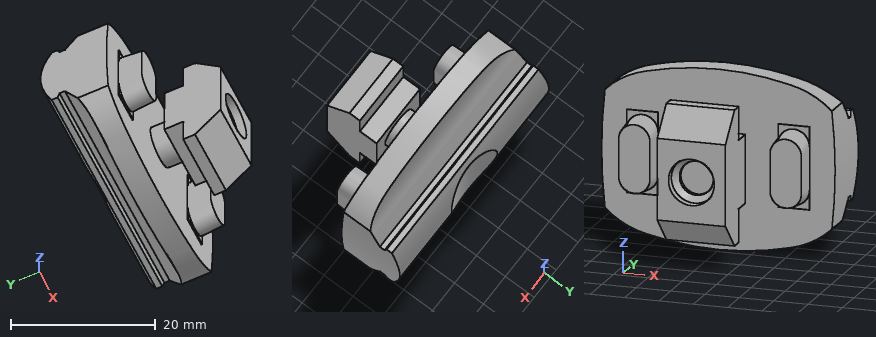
import cadquery as cq
import math


half_length = 17.0
half_height = 13.005
corner_x = 16.52
corner_z = 8.55
shoulder_x = 10.5
shoulder_z = 11.73
shoulder_radius = 12.58

crown_y = 10.13
rim_thickness = 3.5
cove_top_z = 12.5
flank_base_y = 5.1
flank_base_z = 7.9
flank_top_y = 6.5
groove_y = 7.3
groove_z = 5.68
lip_y = 7.6
lip_z = 6.5
crown_edge_y = 8.55

relief_half_width = 5.25
relief_depth = 1.02

pin_x = 11.0
pin_width = 4.55
pin_base_height = 10.95
pin_tip_height = 9.93
pin_length = 3.6
pad_height = 11.97
pad_thickness = 0.15

neck_diameter = 6.05
neck_length = 3.05
nut_length = 8.6
nut_width = 9.93
nut_body_half_height = 4.95
nut_wing_half_height = 9.8
wing_offset = 2.9
nut_chamfer = 3.9

bore_mouth_diameter = 6.65
bore_diameter = 4.9
bore_mouth_depth = 1.25
bore_depth = 2.75

nut_start_y = -neck_length
nut_end_y = nut_start_y - nut_length


def facing_minus_y(y):
    """XZ workplane at the given Y, with extrusion running towards -Y."""
    return cq.Workplane("XZ", origin=(0, y, 0))


def make_saddle():
    cove_depth = flank_base_y - rim_thickness
    cove_height = cove_top_z - flank_base_z
    cove_radius = (cove_depth**2 + cove_height**2) / (2 * cove_depth)
    cove_half_angle = math.atan2(cove_depth, cove_height)
    cove_mid_y = rim_thickness + cove_radius * (1 - math.cos(cove_half_angle))
    cove_mid_z = cove_top_z - cove_radius * math.sin(cove_half_angle)
    section = (
        cq.Workplane("YZ", origin=(-half_length, 0, 0))
        .moveTo(0, half_height)
        .lineTo(rim_thickness, half_height)
        .lineTo(rim_thickness, cove_top_z)
        .threePointArc((cove_mid_y, cove_mid_z), (flank_base_y, flank_base_z))
        .lineTo(flank_top_y, groove_z)
        .lineTo(groove_y, groove_z)
        .lineTo(lip_y, lip_z)
        .lineTo(crown_edge_y, lip_z)
        .threePointArc((crown_y, 0), (crown_edge_y, -lip_z))
        .lineTo(lip_y, -lip_z)
        .lineTo(groove_y, -groove_z)
        .lineTo(flank_top_y, -groove_z)
        .lineTo(flank_base_y, -flank_base_z)
        .threePointArc((cove_mid_y, -cove_mid_z), (rim_thickness, -cove_top_z))
        .lineTo(rim_thickness, -half_height)
        .lineTo(0, -half_height)
        .close()
        .extrude(2 * half_length)
    )
    outline = (
        facing_minus_y(crown_y)
        .moveTo(-shoulder_x, shoulder_z)
        .threePointArc((0, half_height), (shoulder_x, shoulder_z))
        .radiusArc((corner_x, corner_z), shoulder_radius)
        .threePointArc((half_length, 0), (corner_x, -corner_z))
        .radiusArc((shoulder_x, -shoulder_z), shoulder_radius)
        .threePointArc((0, -half_height), (-shoulder_x, -shoulder_z))
        .radiusArc((-corner_x, -corner_z), shoulder_radius)
        .threePointArc((-half_length, 0), (-corner_x, corner_z))
        .radiusArc((-shoulder_x, shoulder_z), shoulder_radius)
        .close()
        .extrude(crown_y)
    )
    return section.intersect(outline)


def make_relief():
    """Cylindrical cutter along Z that dips into the crown at mid-length."""
    radius = (relief_half_width**2 + relief_depth**2) / (2 * relief_depth)
    axis_y = crown_y - relief_depth + radius
    return (
        cq.Workplane("XY", origin=(0, axis_y, -half_height))
        .circle(radius)
        .extrude(2 * half_height)
    )


def make_pin(x):
    """Obround pin whose rounded ends lean inwards, on a thin rectangular pad."""
    pad = facing_minus_y(0).center(x, 0).rect(pin_width, pad_height).extrude(pad_thickness)
    pin = (
        facing_minus_y(0)
        .center(x, 0)
        .slot2D(pin_base_height, pin_width, 90)
        .workplane(offset=pin_length)
        .slot2D(pin_tip_height, pin_width, 90)
        .loft(ruled=True)
    )
    return pad.union(pin)


def make_nut():
    """T-shaped nut with bevelled wings, extruded along X."""
    wing_y = nut_start_y - wing_offset
    bevel_y = nut_end_y + nut_chamfer
    tip_half_height = nut_wing_half_height - nut_chamfer
    upper_side = [
        (nut_start_y, nut_body_half_height),
        (wing_y, nut_body_half_height),
        (wing_y, nut_wing_half_height),
        (bevel_y, nut_wing_half_height),
        (nut_end_y, tip_half_height),
    ]
    lower_side = [(y, -z) for y, z in reversed(upper_side)]
    return (
        cq.Workplane("YZ", origin=(-nut_width / 2, 0, 0))
        .polyline(upper_side + lower_side)
        .close()
        .extrude(nut_width)
    )


def make_bore():
    """Blind bore: wide mouth, conical step, then a narrower flat-bottomed end."""
    mouth_radius = bore_mouth_diameter / 2
    end_radius = bore_diameter / 2
    step_y = nut_end_y + bore_mouth_depth
    cone_end_y = step_y + mouth_radius - end_radius
    return (
        cq.Workplane("XY")
        .moveTo(0, nut_end_y)
        .lineTo(mouth_radius, nut_end_y)
        .lineTo(mouth_radius, step_y)
        .lineTo(end_radius, cone_end_y)
        .lineTo(end_radius, nut_end_y + bore_depth)
        .lineTo(0, nut_end_y + bore_depth)
        .close()
        .revolve(360, (0, 0, 0), (0, 1, 0))
    )


neck = facing_minus_y(0).circle(neck_diameter / 2).extrude(neck_length)

result = make_saddle().cut(make_relief())
for pin_centre_x in (-pin_x, pin_x):
    result = result.union(make_pin(pin_centre_x))
result = result.union(neck).union(make_nut()).cut(make_bore())